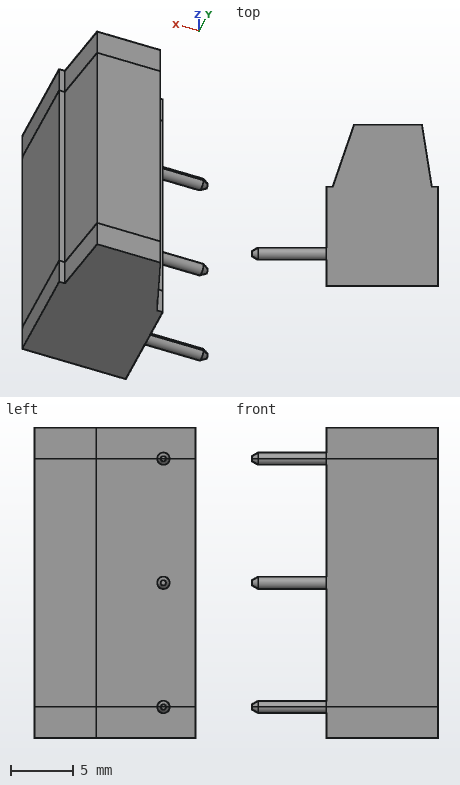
import cadquery as cq
import math

TOTAL_HEIGHT = 25.0
END_HEIGHT = 2.5
MIDDLE_HEIGHT = TOTAL_HEIGHT - 2 * END_HEIGHT

BASE_WIDTH = 9.0
BASE_DEPTH = 8.0
TOTAL_DEPTH = 13.0
SHOULDER = 0.5
LEFT_SLOPE_ANGLE = 19.0
RIGHT_SLOPE_ANGLE = 9.0
NOSE_DEPTH = TOTAL_DEPTH - BASE_DEPTH
TOP_LEFT_INSET = SHOULDER + NOSE_DEPTH * math.tan(math.radians(LEFT_SLOPE_ANGLE))
TOP_RIGHT_INSET = SHOULDER + NOSE_DEPTH * math.tan(math.radians(RIGHT_SLOPE_ANGLE))

PIN_DIAMETER = 1.0
PIN_LENGTH = 6.0
PIN_TIP_LENGTH = 0.5
PIN_TIP_ANGLE = 30.0
PIN_TIP_DIAMETER = PIN_DIAMETER - 2 * PIN_TIP_LENGTH * math.tan(math.radians(PIN_TIP_ANGLE))
PIN_Y = 2.6
PIN_LEVELS = (END_HEIGHT, TOTAL_HEIGHT / 2, TOTAL_HEIGHT - END_HEIGHT)


def make_block(bottom, height):
    """Stretch of the housing: a wide base with a tapered, shouldered nose toward +Y."""
    return (
        cq.Workplane("XY", origin=(0, 0, bottom))
        .moveTo(0, 0)
        .lineTo(BASE_WIDTH, 0)
        .lineTo(BASE_WIDTH, BASE_DEPTH)
        .lineTo(BASE_WIDTH - SHOULDER, BASE_DEPTH)
        .lineTo(BASE_WIDTH - TOP_RIGHT_INSET, TOTAL_DEPTH)
        .lineTo(TOP_LEFT_INSET, TOTAL_DEPTH)
        .lineTo(SHOULDER, BASE_DEPTH)
        .lineTo(0, BASE_DEPTH)
        .close()
        .extrude(height)
    )


def make_pin(level):
    """Round pin pointing toward -X with a conical tip, as a profile turned about its axis."""
    return (
        cq.Workplane("XY", origin=(0, PIN_Y, level))
        .moveTo(0, 0)
        .lineTo(0, PIN_DIAMETER / 2)
        .lineTo(PIN_TIP_LENGTH - PIN_LENGTH, PIN_DIAMETER / 2)
        .lineTo(-PIN_LENGTH, PIN_TIP_DIAMETER / 2)
        .lineTo(-PIN_LENGTH, 0)
        .close()
        .revolve(360, (0, 0, 0), (1, 0, 0))
    )


def make_section(bottom, height):
    """Housing block with the part of each pin that lies within its own height."""
    section = make_block(bottom, height)
    slab = cq.Workplane("XY", origin=(-PIN_LENGTH, 0, bottom)).box(
        PIN_LENGTH, TOTAL_DEPTH, height, centered=False
    )
    for level in PIN_LEVELS:
        touches_section = bottom <= level <= bottom + height
        if touches_section:
            section = section.union(make_pin(level).intersect(slab))
    return section.solids()


def make_end_section(bottom):
    """End of the housing, carrying the half of an outer pin that lies on its side of the joint."""
    return make_section(bottom, END_HEIGHT)


def make_middle_section():
    """Middle of the housing, carrying the centre pin and the inner half of each outer pin."""
    return make_section(END_HEIGHT, MIDDLE_HEIGHT)


end_sections = [make_end_section(bottom) for bottom in (0, TOTAL_HEIGHT - END_HEIGHT)]
middle_section = make_middle_section()

result = cq.Compound.makeCompound([middle_section.val(), *[end.val() for end in end_sections]])